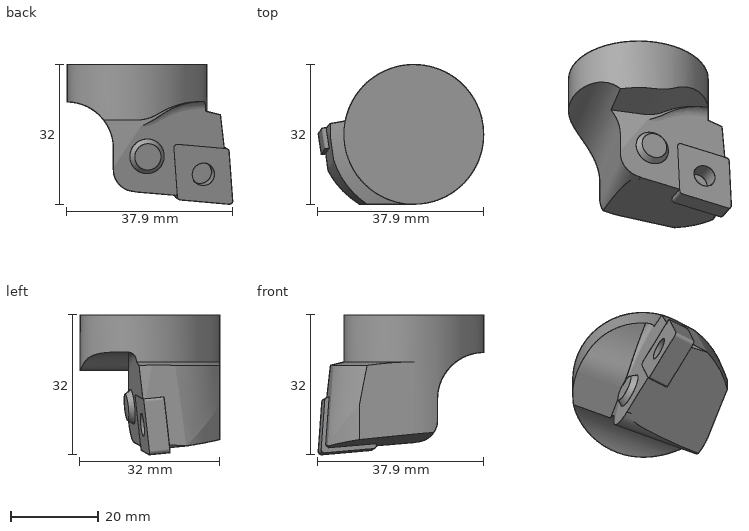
import cadquery as cq
import math

SHANK_DIA = 32.0
SHANK_R = SHANK_DIA / 2
OVERSIZE = 75.75
PICK_MARGIN = 0.38

RELIEF_TOP_Z = -8.65
NECK_X = 5.45
RELIEF_R = SHANK_R - NECK_X
HEEL_R = 5.0
HEEL_START_Z = -24.1

SHOULDER_TOP_Z = -10.75
SHOULDER_Z = -11.55
SHOULDER_R = 19.25
FLARE_SLOPE = 0.113
HEAD_DEPTH = 34.1
CORNER_FRONT_X = -12.42
CORNER_MID = (-16.5, -12.65)
CORNER_SIDE = (-19.58, -8.4)

END_POINT = (0, -SHANK_R, -27.25)
END_NORMAL = (0.1, -0.1, -1)
FLANK_POINT = (-19.1, -0.53, SHOULDER_Z)
FLANK_NORMAL = (-1, -0.14, 0.089)
FACET_NORMAL = (-1, 0, 0.114)
CLEARANCE_POINT = (-20.15, -4.55, -29.73)
CLEARANCE_NORMAL = (-1, -0.08, -1)
RAKE_POINT = (-19.1, 2.5, SHOULDER_Z)
RAKE_NORMAL = (-0.15, 1, -0.1)

POCKET_WALL_Y = 4.95
POCKET_TOP_Z = -8.5
POCKET_LEVEL_X = -14.65
POCKET_BEND_X = -4.8
POCKET_BEND_Z = -11.32
POCKET_LIP_X = 0.05
POCKET_LIP_Z = -12.72
POCKET_CORNER_R = 2.0

INSERT_CIRCLE_DIA = 12.7
INSERT_ANGLE = 80.0
INSERT_SIDE = INSERT_CIRCLE_DIA / math.sin(math.radians(INSERT_ANGLE))
INSERT_THICKNESS = 4.77
INSERT_NOSE_R = 0.8
INSERT_HOLE_DIA = 5.15
INSERT_CENTRE_X = -15.15
INSERT_CENTRE_Z = -25.15
INSERT_TILT = 5.0

BOSS_X = -2.27
BOSS_Z = -21.0
BOSS_BASE_R = 3.98
BOSS_TOP_R = 3.03
BOSS_HEIGHT = 1.33


def rake_point(x, z):
    """Point of the rake face at the given X and Z."""
    px, py, pz = RAKE_POINT
    nx, ny, nz = RAKE_NORMAL
    return (x, py - (nx * (x - px) + nz * (z - pz)) / ny, z)


def block_outside(point, normal):
    """Large block filling the space on the outward side of a plane."""
    plane = cq.Plane(origin=point, normal=normal)
    return cq.Workplane(plane).rect(OVERSIZE, OVERSIZE).extrude(OVERSIZE)


def rake_plane(x, z):
    """Workplane in the rake face, local X along the part's X."""
    nx, ny, _ = RAKE_NORMAL
    return cq.Plane(origin=rake_point(x, z), xDir=(ny, -nx, 0), normal=RAKE_NORMAL)


def make_flared_head():
    """Shank with a conical shoulder and flaring head, trimmed at the front."""
    head_r = SHOULDER_R + FLARE_SLOPE * (HEAD_DEPTH + SHOULDER_Z)
    turned = (
        cq.Workplane("XZ")
        .moveTo(0, SHOULDER_TOP_Z)
        .lineTo(SHANK_R, SHOULDER_TOP_Z)
        .lineTo(SHOULDER_R, SHOULDER_Z)
        .lineTo(head_r, -HEAD_DEPTH)
        .lineTo(0, -HEAD_DEPTH)
        .close()
        .revolve(360, (0, 0, 0), (0, 1, 0))
    )
    outline = (
        cq.Workplane("XY")
        .moveTo(0, -SHANK_R)
        .lineTo(CORNER_FRONT_X, -SHANK_R)
        .threePointArc(CORNER_MID, CORNER_SIDE)
        .lineTo(-SHANK_DIA, 0)
        .lineTo(-SHANK_DIA, POCKET_WALL_Y)
        .lineTo(0, POCKET_WALL_Y)
        .close()
        .extrude(-HEAD_DEPTH)
    )
    head = turned.intersect(outline)
    for point, normal in ((FLANK_POINT, FLANK_NORMAL), (FLANK_POINT, FACET_NORMAL)):
        head = head.cut(block_outside(point, normal))
    return head


def make_side_profile():
    """Relief arc, neck and heel outline, extruded through the part along Y."""
    diagonal = math.sqrt(0.5)
    relief_centre_z = RELIEF_TOP_Z - RELIEF_R
    heel_centre_x = NECK_X - HEEL_R
    return (
        cq.Workplane("XZ")
        .moveTo(-SHANK_DIA, 0)
        .lineTo(SHANK_R, 0)
        .lineTo(SHANK_R, RELIEF_TOP_Z)
        .threePointArc(
            (SHANK_R - RELIEF_R * diagonal, relief_centre_z + RELIEF_R * diagonal),
            (NECK_X, relief_centre_z),
        )
        .lineTo(NECK_X, HEEL_START_Z)
        .threePointArc(
            (heel_centre_x + HEEL_R * diagonal, HEEL_START_Z - HEEL_R * diagonal),
            (heel_centre_x, HEEL_START_Z - HEEL_R),
        )
        .lineTo(heel_centre_x, -HEAD_DEPTH)
        .lineTo(-SHANK_DIA, -HEAD_DEPTH)
        .close()
        .extrude(SHANK_DIA, both=True)
    )


def make_chip_pocket():
    """Space under the pocket roof, behind the wall or in front of the rake face."""
    under_roof = (
        cq.Workplane("XZ")
        .moveTo(-SHANK_DIA, POCKET_TOP_Z)
        .lineTo(POCKET_LEVEL_X, POCKET_TOP_Z)
        .tangentArcPoint((POCKET_BEND_X, POCKET_BEND_Z), relative=False)
        .tangentArcPoint((POCKET_LIP_X, POCKET_LIP_Z), relative=False)
        .lineTo(SHANK_DIA, POCKET_LIP_Z)
        .lineTo(SHANK_DIA, -HEAD_DEPTH)
        .lineTo(-SHANK_DIA, -HEAD_DEPTH)
        .close()
        .extrude(SHANK_DIA, both=True)
    )
    behind_wall = block_outside((0, POCKET_WALL_Y, 0), (0, 1, 0))
    above_rake = block_outside(RAKE_POINT, RAKE_NORMAL)
    rake_side = under_roof.intersect(above_rake)
    roof_band = cq.selectors.BoxSelector(
        (-SHANK_DIA - PICK_MARGIN, RAKE_POINT[1] - SHANK_R, POCKET_LIP_Z - PICK_MARGIN),
        (SHANK_DIA - PICK_MARGIN, SHANK_R, POCKET_TOP_Z + PICK_MARGIN),
    )
    rake_side = rake_side.edges(roof_band).fillet(POCKET_CORNER_R)
    return under_roof.intersect(behind_wall).union(rake_side)


def make_insert_blank():
    """Rhombic plate with rounded cutting corners, its top in the rake face."""
    acute = math.radians(INSERT_ANGLE)
    lean_x = INSERT_SIDE * math.cos(acute)
    rise = INSERT_SIDE * math.sin(acute)
    half_width = (INSERT_SIDE + lean_x) / 2
    corners = [
        (-half_width, rise / 2),
        (-half_width + INSERT_SIDE, rise / 2),
        (half_width, -rise / 2),
        (half_width - INSERT_SIDE, -rise / 2),
    ]
    plane = rake_plane(INSERT_CENTRE_X, INSERT_CENTRE_Z).rotated((0, 0, -INSERT_TILT))
    plate = cq.Workplane(plane).polyline(corners).close().extrude(-INSERT_THICKNESS)
    upright = cq.selectors.ParallelDirSelector(cq.Vector(*RAKE_NORMAL))
    return plate.edges(upright).fillet(INSERT_NOSE_R)


def make_insert():
    """Insert with its central through hole."""
    plane = rake_plane(INSERT_CENTRE_X, INSERT_CENTRE_Z)
    hole = cq.Workplane(plane).circle(INSERT_HOLE_DIA / 2).extrude(-INSERT_THICKNESS)
    return make_insert_blank().cut(hole)


def make_clamp_boss():
    """Truncated cone standing on the rake face."""
    cone = cq.Solid.makeCone(
        BOSS_BASE_R,
        BOSS_TOP_R,
        BOSS_HEIGHT,
        cq.Vector(*rake_point(BOSS_X, BOSS_Z)),
        cq.Vector(*RAKE_NORMAL),
    )
    return cq.Workplane(cone)


def make_holder():
    """Tool head with its chip pocket, clamp boss and seat for the insert."""
    shank = cq.Workplane("XY").circle(SHANK_R).extrude(-HEAD_DEPTH)
    holder = shank.union(make_flared_head())
    holder = holder.intersect(make_side_profile())
    holder = holder.cut(block_outside(END_POINT, END_NORMAL))
    holder = holder.cut(block_outside(CLEARANCE_POINT, CLEARANCE_NORMAL))
    holder = holder.cut(make_chip_pocket())
    holder = holder.union(make_clamp_boss())
    return holder.cut(make_insert_blank())


holder = make_holder()
insert = make_insert()
result = cq.Compound.makeCompound([holder.val(), insert.val()])